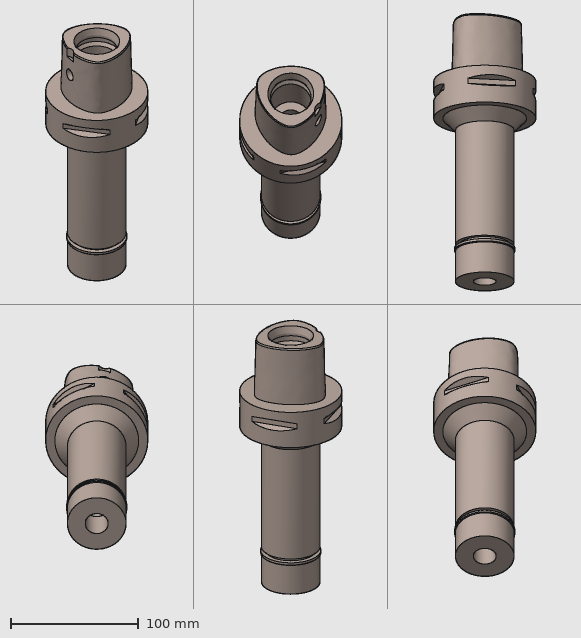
import cadquery as cq
import math

TOTAL_HEIGHT = 213.0
SHANK_HEIGHT = 47.7
FLANGE_BOTTOM_Z = 134.8
NECK_TOP_Z = 30.5
NUT_HEIGHT = 27.5
FLANGE_TOP_Z = TOTAL_HEIGHT - SHANK_HEIGHT

FLANGE_RADIUS = 40.0
BARREL_RADIUS = 23.0
NECK_RADIUS = 19.8
CONE_HEIGHT = 9.8
CONE_TOP_RADIUS = BARREL_RADIUS + CONE_HEIGHT

LOBE_MEAN_RADIUS = 28.0
LOBE_ECCENTRICITY = 2.1
TAPER_PER_SIDE = 0.025
RIM_CHAMFER_HEIGHT = 1.3
RIM_CHAMFER_INSET = 0.6
LOBE_POINTS = 48

THROUGH_RADIUS = 9.0
SOCKET_RADIUS = 16.0
MOUTH_RADIUS = 17.9
MOUTH_DEPTH = 5.8
SOCKET_DEPTH = SHANK_HEIGHT
GROOVE_TOP_DEPTH = 7.7
GROOVE_BOTTOM_DEPTH = 15.8
GROOVE_DEPTH = 2.5

KEYWAY_RADIUS = 6.4
KEYWAY_BACK_Y = -22.4
KEYWAY_HEIGHT = 7.9
DIMPLE_RADIUS = 4.8
DIMPLE_DEPTH_FROM_TOP = 22.8
DIMPLE_FLOOR_Y = -17.0

SLOT_COUNT = 4
SLOT_START_ANGLE = 45.0
SLOT_Z = 153.1
SLOT_FLOOR_DISTANCE = 35.4
SLOT_FLOOR_HEIGHT = 4.3
SLOT_MOUTH_HEIGHT = 9.0

NUT_RADIUS = BARREL_RADIUS
COLLAR_RADIUS = 23.6
COLLAR_HEIGHT = 2.0
COLLAR_CHAMFER = COLLAR_RADIUS - NUT_RADIUS


def lobe_point(mean_radius, angle):
    """Point on a constant-width trilobe, with one lobe toward +Y."""
    support = mean_radius - LOBE_ECCENTRICITY * math.sin(3 * angle)
    slope = -3 * LOBE_ECCENTRICITY * math.cos(3 * angle)
    x = support * math.cos(angle) - slope * math.sin(angle)
    y = support * math.sin(angle) + slope * math.cos(angle)
    return (x, y)


def lobe_wire(mean_radius, z):
    start = -math.pi / 2
    step = 2 * math.pi / LOBE_POINTS
    points = [lobe_point(mean_radius, start + i * step) for i in range(LOBE_POINTS)]
    return cq.Workplane().workplane(offset=z).spline(points, periodic=True).close().val()


def make_shank():
    rim_z = TOTAL_HEIGHT - RIM_CHAMFER_HEIGHT
    rim_radius = LOBE_MEAN_RADIUS - TAPER_PER_SIDE * (rim_z - FLANGE_TOP_Z)
    base = lobe_wire(LOBE_MEAN_RADIUS, FLANGE_TOP_Z)
    rim = lobe_wire(rim_radius, rim_z)
    top = lobe_wire(rim_radius - RIM_CHAMFER_INSET, TOTAL_HEIGHT)
    taper = cq.Solid.makeLoft([base, rim], True)
    chamfer = cq.Solid.makeLoft([rim, top], True)
    return cq.Workplane(taper).union(cq.Workplane(chamfer))


def revolve_profile(points):
    """Turn a closed (radius, z) outline about the Z axis."""
    return cq.Workplane("XZ").polyline(points).close().revolve(360, (0, 0), (0, 1))


def make_turned_body():
    return revolve_profile([
        (0, NUT_HEIGHT),
        (NECK_RADIUS, NUT_HEIGHT),
        (NECK_RADIUS, NECK_TOP_Z),
        (BARREL_RADIUS, NECK_TOP_Z),
        (BARREL_RADIUS, FLANGE_BOTTOM_Z - CONE_HEIGHT),
        (CONE_TOP_RADIUS, FLANGE_BOTTOM_Z),
        (FLANGE_RADIUS, FLANGE_BOTTOM_Z),
        (FLANGE_RADIUS, FLANGE_TOP_Z),
        (0, FLANGE_TOP_Z),
    ])


def make_bore():
    """Through bore, stepped socket, clamping groove and conical mouth."""
    groove_radius = SOCKET_RADIUS + GROOVE_DEPTH
    groove_top_z = TOTAL_HEIGHT - GROOVE_TOP_DEPTH
    groove_bottom_z = TOTAL_HEIGHT - GROOVE_BOTTOM_DEPTH
    return revolve_profile([
        (0, NUT_HEIGHT),
        (THROUGH_RADIUS, NUT_HEIGHT),
        (THROUGH_RADIUS, TOTAL_HEIGHT - SOCKET_DEPTH),
        (SOCKET_RADIUS, TOTAL_HEIGHT - SOCKET_DEPTH),
        (SOCKET_RADIUS, groove_bottom_z),
        (groove_radius, groove_bottom_z + GROOVE_DEPTH),
        (groove_radius, groove_top_z),
        (SOCKET_RADIUS, groove_top_z),
        (SOCKET_RADIUS, TOTAL_HEIGHT - MOUTH_DEPTH),
        (MOUTH_RADIUS, TOTAL_HEIGHT),
        (0, TOTAL_HEIGHT),
    ])


def make_keyway():
    keyway = cq.Workplane().circle(KEYWAY_RADIUS).extrude(KEYWAY_HEIGHT)
    return keyway.translate((0, KEYWAY_BACK_Y - KEYWAY_RADIUS, TOTAL_HEIGHT - KEYWAY_HEIGHT))


def make_dimple():
    dimple_z = TOTAL_HEIGHT - DIMPLE_DEPTH_FROM_TOP
    plane = cq.Workplane("XZ", origin=(0, DIMPLE_FLOOR_Y, dimple_z))
    return plane.circle(DIMPLE_RADIUS).extrude(LOBE_MEAN_RADIUS)


def make_gripper_slot(angle):
    """Straight trapezoidal slot that widens toward the flange rim."""
    half_floor = SLOT_FLOOR_HEIGHT / 2
    half_mouth = SLOT_MOUTH_HEIGHT / 2
    profile = [
        (SLOT_FLOOR_DISTANCE, SLOT_Z - half_floor),
        (FLANGE_RADIUS, SLOT_Z - half_mouth),
        (FLANGE_RADIUS, SLOT_Z + half_mouth),
        (SLOT_FLOOR_DISTANCE, SLOT_Z + half_floor),
    ]
    slot = cq.Workplane("XZ").polyline(profile).close().extrude(FLANGE_RADIUS, both=True)
    return slot.rotate((0, 0, 0), (0, 0, 1), angle)


def make_holder():
    holder = make_turned_body().union(make_shank())
    holder = holder.cut(make_bore()).cut(make_keyway()).cut(make_dimple())
    for i in range(SLOT_COUNT):
        holder = holder.cut(make_gripper_slot(SLOT_START_ANGLE + i * 360 / SLOT_COUNT))
    return holder


def make_nut():
    """Clamping nut with a collar, seated against the end of the holder's neck."""
    collar_bottom_z = NUT_HEIGHT - COLLAR_HEIGHT
    return revolve_profile([
        (THROUGH_RADIUS, 0),
        (NUT_RADIUS, 0),
        (NUT_RADIUS, collar_bottom_z - COLLAR_CHAMFER),
        (COLLAR_RADIUS, collar_bottom_z),
        (COLLAR_RADIUS, NUT_HEIGHT),
        (THROUGH_RADIUS, NUT_HEIGHT),
    ])


holder = make_holder()
nut = make_nut()
result = cq.Compound.makeCompound([holder.solids().val(), nut.val()])